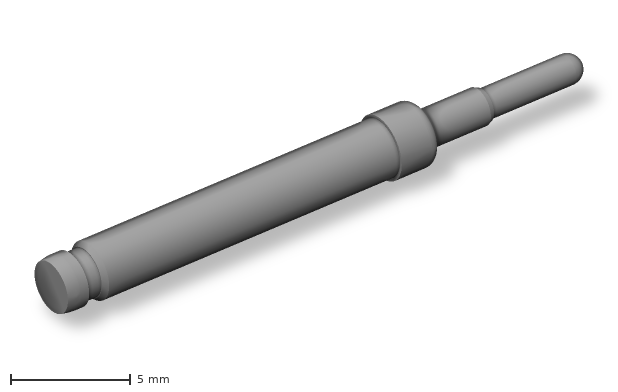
import cadquery as cq
import math


TOTAL_LENGTH = 27.3

PLUNGER_DIAMETER = 1.4
PLUNGER_RADIUS = PLUNGER_DIAMETER / 2
PLUNGER_LENGTH = 5.0

SLEEVE_RADIUS = 0.87
SLEEVE_LENGTH = 3.3
SLEEVE_CHAMFER_LENGTH = 0.25
SLEEVE_CHAMFER_DEPTH = 0.1

COLLAR_RADIUS = 1.5
COLLAR_LENGTH = 2.0
COLLAR_ROUND_LENGTH = 0.4
COLLAR_ROUND_DEPTH = 0.25

BARREL_DIAMETER = 2.7
BARREL_RADIUS = BARREL_DIAMETER / 2
BARREL_CHAMFER_LENGTH = 0.25
BARREL_CHAMFER_DEPTH = 0.2

NECK_RADIUS = 1.12
NECK_LENGTH = 0.75
BUTTON_RADIUS = 1.28
BUTTON_LENGTH = 1.05
BUTTON_CROWN_LENGTH = 0.6
BUTTON_CROWN_DEPTH = 0.08

barrel_rear = BUTTON_LENGTH + NECK_LENGTH
plunger_rear = TOTAL_LENGTH - PLUNGER_LENGTH
sleeve_rear = plunger_rear - SLEEVE_LENGTH
collar_rear = sleeve_rear - COLLAR_LENGTH
tip_center = TOTAL_LENGTH - PLUNGER_RADIUS


def round_midpoint(radius, start, length, depth, direction):
    """Middle of an arc that leaves a cylinder tangentially and drops by depth over length."""
    arc_radius = (length**2 + depth**2) / (2 * depth)
    half_angle = math.atan2(depth, length)
    drop = arc_radius * (1 - math.cos(half_angle))
    return (radius - drop, start + direction * arc_radius * math.sin(half_angle))


button_crown_mid = round_midpoint(
    BUTTON_RADIUS, BUTTON_CROWN_LENGTH, BUTTON_CROWN_LENGTH, BUTTON_CROWN_DEPTH, -1
)
collar_round_start = sleeve_rear - COLLAR_ROUND_LENGTH
collar_round_mid = round_midpoint(
    COLLAR_RADIUS, collar_round_start, COLLAR_ROUND_LENGTH, COLLAR_ROUND_DEPTH, 1
)
tip_mid = (
    PLUNGER_RADIUS * math.cos(math.pi / 4),
    tip_center + PLUNGER_RADIUS * math.sin(math.pi / 4),
)

half_outline = (
    cq.Workplane("XY")
    .lineTo(BUTTON_RADIUS - BUTTON_CROWN_DEPTH, 0)
    .threePointArc(button_crown_mid, (BUTTON_RADIUS, BUTTON_CROWN_LENGTH))
    .lineTo(BUTTON_RADIUS, BUTTON_LENGTH)
    .lineTo(NECK_RADIUS, BUTTON_LENGTH)
    .lineTo(NECK_RADIUS, barrel_rear)
    .lineTo(BARREL_RADIUS - BARREL_CHAMFER_DEPTH, barrel_rear)
    .lineTo(BARREL_RADIUS, barrel_rear + BARREL_CHAMFER_LENGTH)
    .lineTo(BARREL_RADIUS, collar_rear)
    .lineTo(COLLAR_RADIUS, collar_rear)
    .lineTo(COLLAR_RADIUS, collar_round_start)
    .threePointArc(collar_round_mid, (COLLAR_RADIUS - COLLAR_ROUND_DEPTH, sleeve_rear))
    .lineTo(SLEEVE_RADIUS, sleeve_rear)
    .lineTo(SLEEVE_RADIUS, plunger_rear - SLEEVE_CHAMFER_LENGTH)
    .lineTo(SLEEVE_RADIUS - SLEEVE_CHAMFER_DEPTH, plunger_rear)
    .lineTo(PLUNGER_RADIUS, plunger_rear)
    .lineTo(PLUNGER_RADIUS, tip_center)
    .threePointArc(tip_mid, (0, TOTAL_LENGTH))
    .close()
)

result = half_outline.revolve(360, (0, 0, 0), (0, 1, 0))